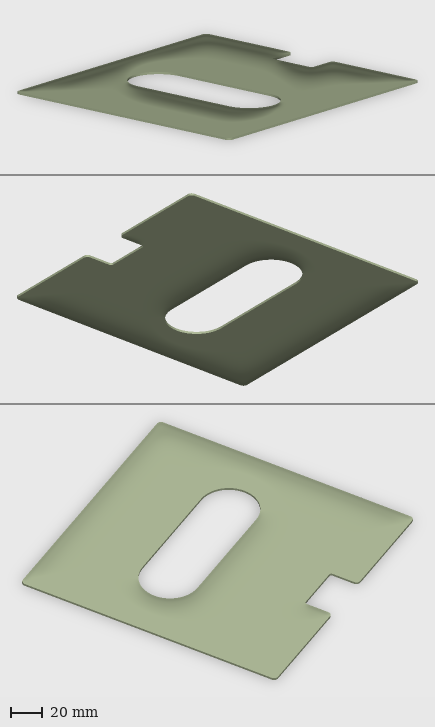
import cadquery as cq

width = 177.0
length = 186.0
thickness = 1.5
corner_radius = 3.0

notch_width = 33.0
notch_depth = 20.0
notch_root_radius = 1.5

slot_length = 115.0
slot_width = 40.0
slot_center_y = -13.2


def plate_outline():
    """Closed outline with the notch, starting at the -X, -Y corner."""
    half_width = width / 2
    half_length = length / 2
    half_notch = notch_width / 2
    notch_floor = half_length - notch_depth
    return (
        cq.Workplane("XY")
        .moveTo(-half_width, -half_length)
        .lineTo(half_width, -half_length)
        .lineTo(half_width, half_length)
        .lineTo(half_notch, half_length)
        .lineTo(half_notch, notch_floor)
        .lineTo(-half_notch, notch_floor)
        .lineTo(-half_notch, half_length)
        .lineTo(-half_width, half_length)
        .close()
    )


def notch_root_edges():
    """Selector that picks out the edges around the floor of the notch."""
    reach = notch_depth / 2
    floor_y = length / 2 - notch_depth
    return cq.selectors.BoxSelector(
        (-notch_width, floor_y - reach, -thickness),
        (notch_width, floor_y + reach, 2 * thickness),
    )


plate = plate_outline().extrude(thickness)

plate = plate.edges("|Z").edges(-notch_root_edges()).fillet(corner_radius)
plate = plate.edges("|Z").edges(notch_root_edges()).fillet(notch_root_radius)

slot = (
    cq.Workplane("XY")
    .center(0, slot_center_y)
    .slot2D(slot_length, slot_width)
    .extrude(thickness)
)

result = plate.cut(slot)